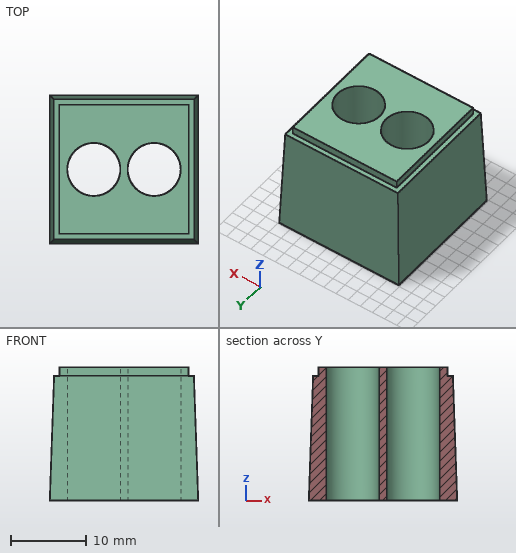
import cadquery as cq

base_side = 19.71
total_height = 17.7

lip_side = 17.1
lip_height = 1.16

shoulder_side = 18.57
body_height = total_height - lip_height

hole_diameter = 7.0
hole_spacing = 8.0


def tapered_body():
    """Square frustum narrowing from the base to the shoulder."""
    return (
        cq.Workplane("XY")
        .rect(base_side, base_side)
        .workplane(offset=body_height)
        .rect(shoulder_side, shoulder_side)
        .loft(ruled=True)
    )


def top_lip():
    """Straight-sided square step on top of the body."""
    return (
        cq.Workplane("XY")
        .workplane(offset=body_height)
        .rect(lip_side, lip_side)
        .extrude(lip_height)
    )


def through_holes():
    """Two cylinders running the full height of the block."""
    return (
        cq.Workplane("XY")
        .pushPoints([(-hole_spacing / 2, 0), (hole_spacing / 2, 0)])
        .circle(hole_diameter / 2)
        .extrude(total_height)
    )


result = tapered_body().union(top_lip()).cut(through_holes())